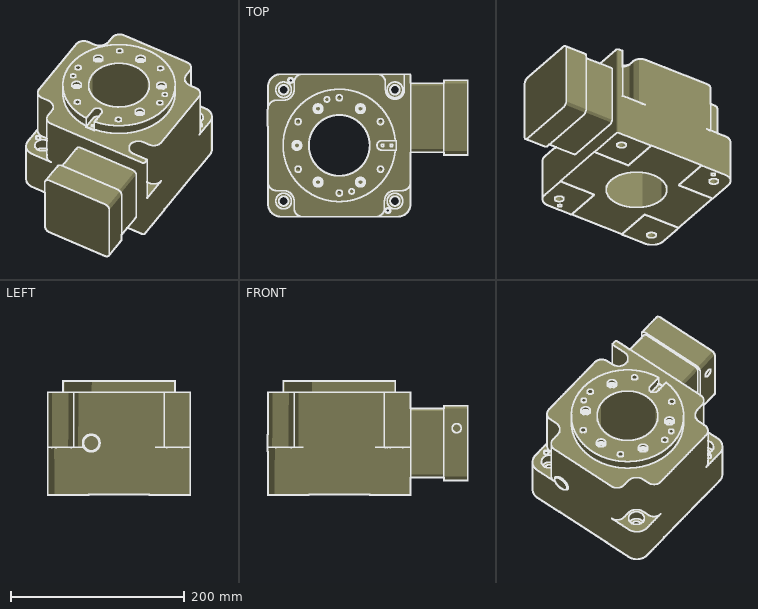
import cadquery as cq
import math


body_side = 165.0
half_side = body_side / 2
body_height = 119.0
corner_radius = 15.0
tight_corner_radius = 2.0
foot_recess_width = 70.0
foot_recess_depth = 0.5

mount_offset = 64.3
pocket_floor = 55.0
pocket_radius = 12.0
pocket_edge_radius = 10.0
slot_pocket_radius = 11.0

mount_hole_diameter = 11.0
mount_bore_diameter = 18.0
mount_bore_depth = 14
jack_hole_diameter = 4.9
jack_hole_chamfer = 0.7
jack_hole_x = 56.1
jack_hole_y = 75.2

table_diameter = 130
table_height = 13.0
table_top = body_height + table_height
bore_diameter = 70.0

screw_circle_radius = 49.0
screw_bore_diameter = 11.0
screw_bore_depth = 8.1
screw_head_diameter = 10.0
screw_head_drop = 5.0
screw_hex_flats = 6.0
screw_hex_depth = 3.0

tapped_circle_radius = 55.0
tapped_diameter = 7
tapped_depth = 9.3
dowel_diameter = 6.0
dowel_depth = 9.3
dowel_angle = 105
drill_point_angle = 118

slot_width = 11.0
slot_center_x = 49.0
slot_end_x = 65.7
slot_depth = 14
slot_hole_diameter = 3.0
slot_hole_depth = 4.6
slot_hole_positions = (50.0, 60.0)

drive_y = 32.0
drive_z = 60.0
flange_side = 80.0
flange_length = 38.3
flange_radius = 5.0
block_side = 86.5
block_length = 27.8
block_radius = 6.3
mark_diameter = 10.5
mark_depth = 0.2
mark_x = half_side + 53.1
mark_z = 77.3

plug_diameter = 20.2
plug_tip_diameter = 18.0
plug_height = 1.0

diagonal = math.sqrt(0.5)


def cylinder(x, y, bottom, diameter, height):
    """Vertical cylinder standing on the given height."""
    return cq.Workplane("XY", origin=(x, y, bottom)).circle(diameter / 2).extrude(height)


def drilled_hole(x, y, top, diameter, depth):
    """Blind hole with a conical drill point below its full-diameter depth."""
    radius = diameter / 2
    point = radius / math.tan(math.radians(drill_point_angle / 2))
    profile = (
        cq.Workplane("XZ", origin=(x, y, top))
        .polyline([(0, 0), (radius, 0), (radius, -depth), (0, -depth - point)])
        .close()
    )
    return profile.revolve(360, (0, 0, 0), (0, 1, 0))


def on_circle(radius, degrees):
    angle = math.radians(degrees)
    return radius * math.cos(angle), radius * math.sin(angle)


def corner_pocket():
    """Pocket at the +X +Y corner: rounded around the hole, flared where it meets the sides."""
    wall = mount_offset - pocket_radius
    flare = pocket_edge_radius
    pocket_mid = mount_offset - pocket_radius * diagonal
    flare_center = wall - flare
    flare_near = flare_center + flare * diagonal
    flare_far = half_side - flare + flare * diagonal
    return (
        cq.Workplane("XY", origin=(0, 0, pocket_floor))
        .moveTo(flare_center, half_side)
        .threePointArc((flare_near, flare_far), (wall, half_side - flare))
        .lineTo(wall, mount_offset)
        .threePointArc((pocket_mid, pocket_mid), (mount_offset, wall))
        .lineTo(half_side - flare, wall)
        .threePointArc((flare_far, flare_near), (half_side, flare_center))
        .lineTo(half_side, half_side)
        .close()
        .extrude(body_height)
    )


def slot_pocket():
    """Pocket at the +X +Y corner that opens only to +Y, beside the motor."""
    left = mount_offset - slot_pocket_radius
    right = mount_offset + slot_pocket_radius
    flare = pocket_edge_radius
    flare_center = left - flare
    return (
        cq.Workplane("XY", origin=(0, 0, pocket_floor))
        .moveTo(flare_center, half_side)
        .threePointArc(
            (flare_center + flare * diagonal, half_side - flare + flare * diagonal),
            (left, half_side - flare),
        )
        .lineTo(left, mount_offset)
        .threePointArc((mount_offset, mount_offset - slot_pocket_radius), (right, mount_offset))
        .lineTo(right, half_side)
        .close()
        .extrude(body_height)
    )


def housing():
    body = cq.Workplane("XY").rect(body_side, body_side).extrude(body_height)
    body = body.edges("|Z and (<X or <Y)").fillet(corner_radius)
    body = body.edges("|Z and >(1,1,0)").fillet(tight_corner_radius)

    for turn in (90, 180, 270):
        body = body.cut(corner_pocket().rotate((0, 0, 0), (0, 0, 1), turn))
    body = body.cut(slot_pocket())

    for length, width in ((body_side, foot_recess_width), (foot_recess_width, body_side)):
        body = body.cut(cq.Workplane("XY").rect(length, width).extrude(foot_recess_depth))

    bore_bottom = pocket_floor - mount_bore_depth
    for x in (-mount_offset, mount_offset):
        for y in (-mount_offset, mount_offset):
            body = body.cut(cylinder(x, y, 0, mount_hole_diameter, pocket_floor))
            body = body.cut(cylinder(x, y, bore_bottom, mount_bore_diameter, mount_bore_depth))

    for side in (-1, 1):
        body = body.cut(jack_hole(side * jack_hole_x, -side * jack_hole_y))
    return body


def jack_hole(x, y):
    """Through hole in a pocket floor with a chamfered mouth."""
    radius = jack_hole_diameter / 2
    profile = (
        cq.Workplane("XZ", origin=(x, y, 0))
        .lineTo(radius, 0)
        .lineTo(radius, pocket_floor - jack_hole_chamfer)
        .lineTo(radius + jack_hole_chamfer, pocket_floor)
        .lineTo(0, pocket_floor)
        .close()
    )
    return profile.revolve(360, (0, 0, 0), (0, 1, 0))


def socket_screw_recess(x, y):
    """Counterbore with a sunken socket head standing inside it."""
    bore_bottom = table_top - screw_bore_depth
    recess = cylinder(x, y, bore_bottom, screw_bore_diameter, screw_bore_depth)
    head_height = screw_bore_depth - screw_head_drop
    head = cylinder(x, y, bore_bottom, screw_head_diameter, head_height)
    corner_diameter = screw_hex_flats / math.cos(math.radians(30))
    socket = (
        cq.Workplane("XY", origin=(x, y, table_top - screw_head_drop))
        .transformed(rotate=(0, 0, 90))
        .polygon(6, corner_diameter)
        .extrude(-screw_hex_depth)
    )
    return recess.cut(head).union(socket)


def key_slot():
    floor = table_top - slot_depth
    length = slot_end_x - slot_center_x
    slot = (
        cq.Workplane("XY", origin=(slot_center_x, 0, floor))
        .rect(length, slot_width)
        .extrude(slot_depth)
        .translate((length / 2, 0, 0))
    )
    slot = slot.union(cylinder(slot_center_x, 0, floor, slot_width, slot_depth))
    for x in slot_hole_positions:
        slot = slot.union(drilled_hole(x, 0, floor, slot_hole_diameter, slot_hole_depth))
    return slot


def motor_block(start_x, side, length, radius):
    return (
        cq.Workplane("YZ", origin=(start_x, drive_y, drive_z))
        .rect(side, side)
        .extrude(length)
        .edges("|X")
        .fillet(radius)
    )


def motor():
    flange = motor_block(half_side, flange_side, flange_length, flange_radius)
    block = motor_block(half_side + flange_length, block_side, block_length, block_radius)
    block_front = drive_y - block_side / 2
    mark = (
        cq.Workplane("XZ", origin=(mark_x, block_front, mark_z))
        .circle(mark_diameter / 2)
        .extrude(-mark_depth)
    )
    return flange.union(block).cut(mark)


def side_plug():
    """Round plug that tapers toward its outer face."""
    cone = cq.Solid.makeCone(
        plug_diameter / 2,
        plug_tip_diameter / 2,
        plug_height,
        cq.Vector(-half_side, drive_y, drive_z),
        cq.Vector(-1, 0, 0),
    )
    return cq.Workplane(cone)


result = housing().union(cylinder(0, 0, body_height, table_diameter, table_height))
result = result.union(motor()).union(side_plug())
result = result.cut(cylinder(0, 0, 0, bore_diameter, table_top))

for degrees in range(60, 360, 60):
    result = result.cut(socket_screw_recess(*on_circle(screw_circle_radius, degrees)))

for degrees in range(30, 360, 60):
    x, y = on_circle(tapped_circle_radius, degrees)
    result = result.cut(drilled_hole(x, y, table_top, tapped_diameter, tapped_depth))

for degrees in (dowel_angle, dowel_angle + 180):
    x, y = on_circle(tapped_circle_radius, degrees)
    result = result.cut(cylinder(x, y, table_top - dowel_depth, dowel_diameter, dowel_depth))

result = result.cut(key_slot())